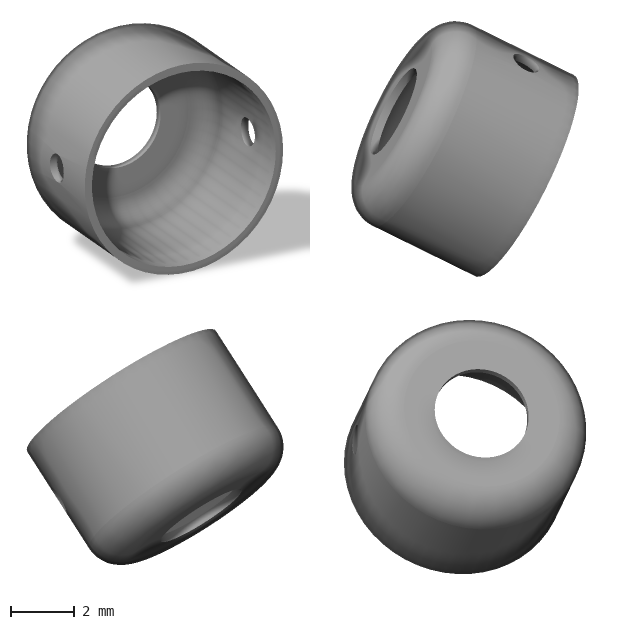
import cadquery as cq

outer_diameter = 7.03
length = 4.69
edge_radius = 1.03
bore_diameter = 3.0
end_wall = 0.26
side_wall = 0.26
pin_hole_diameter = 0.935
pin_hole_from_end = 2.81

cavity_diameter = outer_diameter - 2 * side_wall
cavity_edge_radius = edge_radius - side_wall


def rounded_cylinder(start, diameter, height, radius):
    """Cylinder along +X whose edge at the starting end is rounded."""
    cylinder = cq.Workplane("YZ", origin=(start, 0, 0)).circle(diameter / 2).extrude(height)
    return cylinder.faces("<X").edges().fillet(radius)


body = rounded_cylinder(0, outer_diameter, length, edge_radius)
cavity = rounded_cylinder(end_wall, cavity_diameter, length - end_wall, cavity_edge_radius)

bore = cq.Workplane("YZ").circle(bore_diameter / 2).extrude(length)

pin_hole = (
    cq.Workplane("XZ", origin=(pin_hole_from_end, 0, 0))
    .circle(pin_hole_diameter / 2)
    .extrude(outer_diameter / 2, both=True)
)

result = body.cut(cavity).cut(bore).cut(pin_hole)